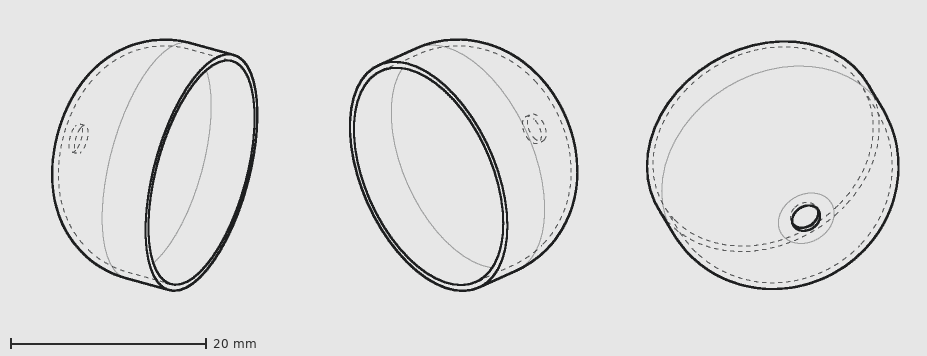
import cadquery as cq

outer_radius = 12.5
rim_length = 5.0
dome_radius = 9.5
wall = 0.65
hole_radius = 1.5

length = rim_length + dome_radius


def domed_body(radius, corner_radius, start_x):
    """Solid cylinder from start_x to the rim, with its -X edge rounded."""
    body = cq.Workplane("YZ").workplane(offset=start_x).circle(radius).extrude(length - start_x)
    return body.faces("<X").edges().fillet(corner_radius)


shell = domed_body(outer_radius, dome_radius, 0).cut(
    domed_body(outer_radius - wall, dome_radius - wall, wall)
)

hole = cq.Workplane("YZ").circle(hole_radius).extrude(length)

result = shell.cut(hole)